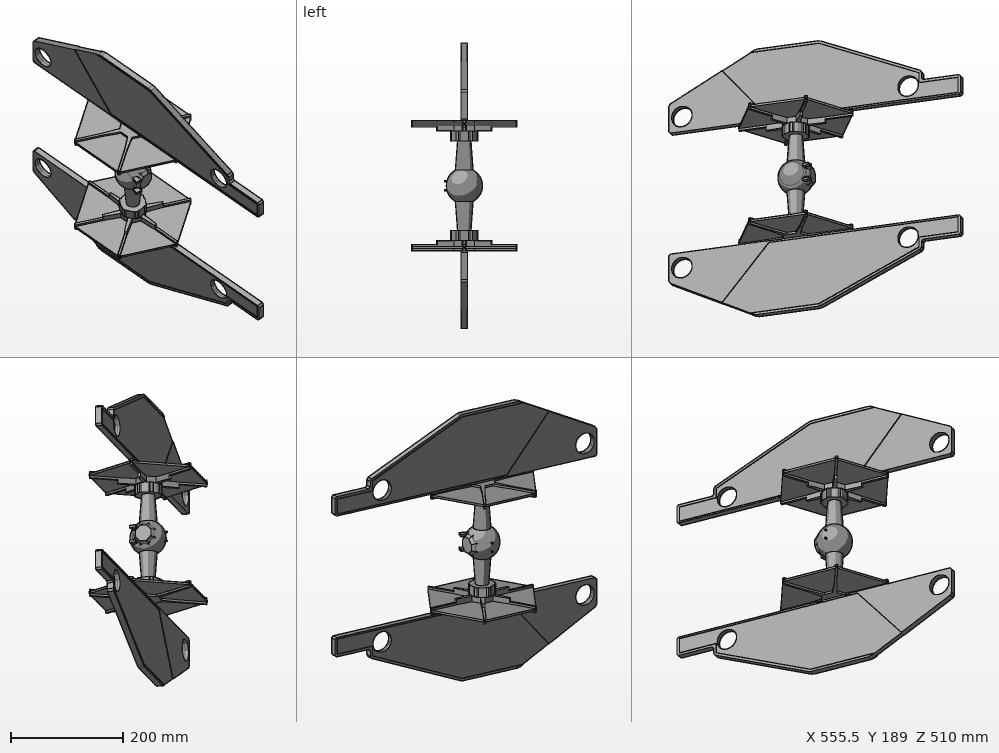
import cadquery as cq
import math

HALF_HEIGHT = 255.0

BLADE_LENGTH = 555.5
BLADE_HEIGHT = 139.0
BLADE_THICKNESS = 11.5
BLADE_LEFT = -240.0
BLADE_RIGHT = BLADE_LEFT + BLADE_LENGTH
BLADE_BASE = HALF_HEIGHT - BLADE_HEIGHT
CREST_LEFT = -74.5
CREST_RIGHT = 46.5
SHOULDER_X = 241.0
SHOULDER_HEIGHT = 54.5
TAB_HEIGHT = 37.0
CORNER_CHAMFER = 3.5
HOLE_DIAMETER = 39.0
HOLE_X = 215.0
HOLE_HEIGHT = 29.0

RECESS_DEPTH = 1.0
RIM = 5.0
BASE_RIM = 3.5
SLANT_TOP_X = -138.0
SLANT_BASE_X = -49.5

LAYER = 4.0
PANEL_ACROSS_FLATS = 188.0
WING_ACROSS_TIPS = 189.0
HUB_APOTHEM = 23.0
HUB_FLAT = 16.5
SPOKE_WIDTH = 4.5
FLARE_RADIUS = 56.0
RIB_HEIGHT = 6.5
SPOKE_COUNT = 6

COLLAR_RADIUS = 23.0
COLLAR_HEIGHT = 18.5
TOOTH_COUNT = 6
TOOTH_RADIUS = 24.5
TOOTH_TIP_WIDTH = 5.0
TOOTH_ROOT_WIDTH = 9.0

STRUT_OUTER_RADIUS = 12.0
STRUT_BALL_RADIUS = 16.0
STRUT_BALL_Z = 28.5

BALL_RADIUS = 32.0
DOME_RIM_Y = 23.0
DOME_APEX_Y = 33.0

WINDOW_SIDES = 8
WINDOW_X = 32.0
WINDOW_BACK_X = 23.5
WINDOW_BACK_WIDTH = 41.0
WINDOW_FRONT_WIDTH = 29.0
GUN_Z = 14.0
GUN_THICKNESS = 4.5
GUN_ROOT_X = 16.5
GUN_INNER_Y = -14.0
GUN_MUZZLE_X = 35.0
GUN_OUTER_CORNER = (32.0, -25.5)
GUN_OUTER_ROOT = (20.5, -21.5)

STUD_Z = 8.5
STUD_DIAMETER = 3.0
STUD_END_Y = 35.0

WING_OUTER = BLADE_BASE
WING_INNER = WING_OUTER - 3 * LAYER
RIB_INNER = WING_INNER - RIB_HEIGHT
COLLAR_INNER = RIB_INNER - COLLAR_HEIGHT


def mirrored(body):
    """The copy of a body on the other side of Z = 0."""
    return body.mirror("XY")


def line_height(start, end, x):
    """Height at x of the straight line through two (x, height) points."""
    return start[1] + (end[1] - start[1]) * (x - start[0]) / (end[0] - start[0])


def line_x(start, end, height):
    """Position x at a height on the straight line through two (x, height) points."""
    return start[0] + (end[0] - start[0]) * (height - start[1]) / (end[1] - start[1])


def blade_sketch():
    """XZ workplane at the middle of the blade, with its origin on the blade base."""
    return cq.Workplane("XZ", origin=(0, 0, BLADE_BASE))


def blade_recess():
    """The two shallow slabs that are sunk into the faces of a blade."""
    left_slope = ((BLADE_LEFT, SHOULDER_HEIGHT), (CREST_LEFT, BLADE_HEIGHT))
    drop = SHOULDER_HEIGHT - BLADE_HEIGHT
    run = SHOULDER_X - CREST_RIGHT
    slope_rim = RIM * math.hypot(run, drop) / run
    right_slope = (
        (CREST_RIGHT, BLADE_HEIGHT - slope_rim),
        (SHOULDER_X, SHOULDER_HEIGHT - slope_rim),
    )
    top = BLADE_HEIGHT - RIM
    inner_shoulder_x = SHOULDER_X - RIM
    outline = [
        (SLANT_BASE_X, BASE_RIM),
        (SLANT_TOP_X, line_height(*left_slope, SLANT_TOP_X)),
        (line_x(*left_slope, top), top),
        (line_x(*right_slope, top), top),
        (inner_shoulder_x, line_height(*right_slope, inner_shoulder_x)),
        (inner_shoulder_x, TAB_HEIGHT - RIM),
        (BLADE_RIGHT - RIM, TAB_HEIGHT - RIM),
        (BLADE_RIGHT - RIM, BASE_RIM),
    ]
    slabs = blade_sketch().polyline(outline).close().extrude(BLADE_THICKNESS, both=True)
    core = cq.Workplane("XY").box(
        2 * BLADE_LENGTH, BLADE_THICKNESS - 2 * RECESS_DEPTH, 2 * HALF_HEIGHT
    )
    return slabs.cut(core)


def make_blade():
    """The upper blade, with chamfered corners, two holes and recessed faces."""
    outline = [
        (BLADE_LEFT, 0),
        (BLADE_LEFT, SHOULDER_HEIGHT),
        (CREST_LEFT, BLADE_HEIGHT),
        (CREST_RIGHT, BLADE_HEIGHT),
        (SHOULDER_X, SHOULDER_HEIGHT),
        (SHOULDER_X, TAB_HEIGHT),
        (BLADE_RIGHT, TAB_HEIGHT),
        (BLADE_RIGHT, 0),
    ]
    plate = blade_sketch().polyline(outline).close().extrude(BLADE_THICKNESS / 2, both=True)
    plate = plate.edges("|Y").chamfer(CORNER_CHAMFER)
    holes = (
        blade_sketch()
        .pushPoints([(-HOLE_X, HOLE_HEIGHT), (HOLE_X, HOLE_HEIGHT)])
        .circle(HOLE_DIAMETER / 2)
        .extrude(BLADE_THICKNESS, both=True)
    )
    return plate.cut(holes).cut(blade_recess())


def hexagon(across_flats, bottom, top):
    """A hexagonal prism with two of its corners on the X axis."""
    across_corners = across_flats / math.cos(math.pi / SPOKE_COUNT)
    return (
        cq.Workplane("XY").workplane(offset=bottom).polygon(SPOKE_COUNT, across_corners).extrude(top - bottom)
    )


def spoked_star(tip_radius, bottom, top):
    """A hexagonal hub with six flared spokes, drawn out as narrow bars up to the tip radius."""
    star = hexagon(2 * HUB_APOTHEM, bottom, top)
    half_step = math.pi / SPOKE_COUNT
    root_radius = HUB_APOTHEM * math.cos(half_step) + HUB_FLAT / 2 * math.sin(half_step)
    root_half = HUB_APOTHEM * math.sin(half_step) - HUB_FLAT / 2 * math.cos(half_step)
    tip_half = SPOKE_WIDTH / 2
    outline = [
        (0, -root_half),
        (root_radius, -root_half),
        (FLARE_RADIUS, -tip_half),
        (FLARE_RADIUS, tip_half),
        (root_radius, root_half),
        (0, root_half),
    ]
    plane = cq.Workplane("XY").workplane(offset=bottom)
    spoke = plane.polyline(outline).close().extrude(top - bottom)
    if tip_radius > FLARE_RADIUS:
        bar_length = tip_radius - FLARE_RADIUS
        bar = plane.center(FLARE_RADIUS + bar_length / 2, 0).rect(bar_length, SPOKE_WIDTH)
        spoke = spoke.union(bar.extrude(top - bottom))
    for index in range(SPOKE_COUNT):
        star = star.union(spoke.rotate((0, 0, 0), (0, 0, 1), index * 360 / SPOKE_COUNT))
    return star


def make_wing():
    """The upper hexagonal wing: panel, full-length spokes and short inner ribs."""
    tip_radius = (WING_ACROSS_TIPS - SPOKE_WIDTH / 2) / 2 / math.sin(math.pi / 3)
    panel = hexagon(PANEL_ACROSS_FLATS, WING_INNER + LAYER, WING_OUTER - LAYER)
    spokes = spoked_star(tip_radius, WING_INNER, WING_OUTER)
    ribs = spoked_star(FLARE_RADIUS, RIB_INNER, WING_INNER)
    return panel.union(spokes).union(ribs)


def make_collar():
    """The upper collar: a cylinder with six tapered teeth, two of them along Y."""
    plane = cq.Workplane("XY").workplane(offset=COLLAR_INNER)
    collar = plane.circle(COLLAR_RADIUS).extrude(COLLAR_HEIGHT)
    root_half = TOOTH_ROOT_WIDTH / 2
    tip_half = TOOTH_TIP_WIDTH / 2
    root_x = math.sqrt(COLLAR_RADIUS**2 - root_half**2)
    tooth_outline = [
        (0, -root_half),
        (root_x, -root_half),
        (TOOTH_RADIUS, -tip_half),
        (TOOTH_RADIUS, tip_half),
        (root_x, root_half),
        (0, root_half),
    ]
    tooth = plane.polyline(tooth_outline).close().extrude(COLLAR_HEIGHT)
    for index in range(TOOTH_COUNT):
        collar = collar.union(tooth.rotate((0, 0, 0), (0, 0, 1), (index + 0.5) * 360 / TOOTH_COUNT))
    return collar


def make_strut():
    """The upper strut, tapered from the ball to the collar and continued inside the ball."""
    return (
        cq.Workplane("XZ")
        .lineTo(STRUT_BALL_RADIUS, 0)
        .lineTo(STRUT_BALL_RADIUS, STRUT_BALL_Z)
        .lineTo(STRUT_OUTER_RADIUS, COLLAR_INNER)
        .lineTo(0, COLLAR_INNER)
        .close()
        .revolve(360, (0, 0), (0, 1))
    )


def make_ball():
    """The ball, turned about the Y axis together with its dome."""
    rim_radius = math.sqrt(BALL_RADIUS**2 - DOME_RIM_Y**2)
    rise = DOME_APEX_Y - DOME_RIM_Y
    dome_radius = (rim_radius**2 + rise**2) / (2 * rise)
    dome_centre_y = dome_radius - DOME_APEX_Y
    half_angle = math.asin(rim_radius / dome_radius) / 2
    dome_middle = (
        dome_radius * math.sin(half_angle),
        dome_centre_y - dome_radius * math.cos(half_angle),
    )
    return (
        cq.Workplane("XY")
        .moveTo(0, BALL_RADIUS)
        .threePointArc((BALL_RADIUS, 0), (rim_radius, -DOME_RIM_Y))
        .threePointArc(dome_middle, (0, -DOME_APEX_Y))
        .close()
        .revolve(360, (0, 0), (0, 1))
    )


def make_window():
    """An eight-sided window that narrows towards +X."""
    to_corners = 1 / math.cos(math.pi / WINDOW_SIDES)
    return (
        cq.Workplane("YZ", origin=(WINDOW_BACK_X, 0, 0))
        .transformed(rotate=(0, 0, 180 / WINDOW_SIDES))
        .polygon(WINDOW_SIDES, WINDOW_BACK_WIDTH * to_corners)
        .workplane(offset=WINDOW_X - WINDOW_BACK_X)
        .polygon(WINDOW_SIDES, WINDOW_FRONT_WIDTH * to_corners)
        .loft(ruled=True)
    )


def make_gun():
    """The upper gun: a flat bar on the -Y side of the window, rooted in the ball."""
    outline = [
        (GUN_ROOT_X, GUN_INNER_Y),
        (GUN_MUZZLE_X, GUN_INNER_Y),
        GUN_OUTER_CORNER,
        GUN_OUTER_ROOT,
    ]
    plane = cq.Workplane("XY", origin=(0, 0, GUN_Z - GUN_THICKNESS / 2))
    return plane.polyline(outline).close().extrude(GUN_THICKNESS)


def make_stud():
    """The upper stud, which sticks out of the ball along +Y."""
    return (
        cq.Workplane("XZ", origin=(0, STUD_END_Y, STUD_Z)).circle(STUD_DIAMETER / 2).extrude(STUD_END_Y)
    )


def make_fighter():
    """The ball with its details, and a strut, collar and wing at each end, as one solid."""
    fighter = make_ball().union(make_window())
    for part in (make_gun(), make_stud(), make_strut(), make_collar(), make_wing()):
        fighter = fighter.union(part).union(mirrored(part))
    return fighter


fighter = make_fighter()
upper_blade = make_blade()
blades = [upper_blade, mirrored(upper_blade)]

result = cq.Compound.makeCompound([fighter.val(), *[blade.val() for blade in blades]])